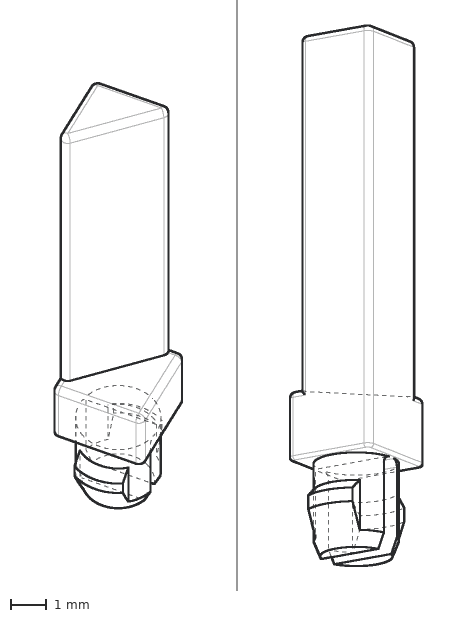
import cadquery as cq
import math

side = 2.8
body_height = 12.3
base_height = 2.0
column_face_x = -0.1
edge_radius = 0.2
bottom_radius = 0.1

stem_length = 2.7
stem_radius = 1.2
tip_radius = 1.02
barb_radius = 1.5
barb_width = 1.5
barb_top_z = -0.8
barb_shoulder_z = -1.1
barb_taper_z = -1.5
slot_width = 0.65
slot_root_radius = 0.2

diagonal_angle = 45
half_diagonal = side / math.sqrt(2)

ORIGIN = (0, 0, 0)
Z_AXIS = (0, 0, 1)


def make_base():
    """Low square block with rounded corners and edges."""
    block = cq.Workplane("XY").rect(side, side).extrude(base_height)
    block = block.edges("|Z or >Z").fillet(edge_radius)
    block = block.faces("<Z").edges().fillet(bottom_radius)
    return block.rotate(ORIGIN, Z_AXIS, diagonal_angle)


def make_column():
    """Tall triangular column over the -X half of the base."""
    half_width = half_diagonal + column_face_x
    column = (
        cq.Workplane("XY")
        .moveTo(-half_diagonal, 0)
        .lineTo(column_face_x, -half_width)
        .lineTo(column_face_x, half_width)
        .close()
        .extrude(body_height)
    )
    column = column.edges("|Z or >Z").fillet(edge_radius)
    return column.faces("<Z").edges().fillet(bottom_radius)


def make_barbs():
    """Turned barb ring, trimmed to a strip so that two opposite barbs remain."""
    ring = (
        cq.Workplane("XZ")
        .moveTo(0, barb_top_z)
        .lineTo(stem_radius, barb_top_z)
        .lineTo(barb_radius, barb_shoulder_z)
        .lineTo(barb_radius, barb_taper_z)
        .lineTo(tip_radius, -stem_length)
        .lineTo(0, -stem_length)
        .close()
        .revolve(360, (0, 0), (0, 1))
    )
    strip = cq.Workplane("XY").rect(barb_width, 2 * barb_radius).extrude(-stem_length)
    return ring.intersect(strip)


def make_shaft():
    """Round shaft whose lower end tapers along the same cone as the barbs."""
    taper_slope = (barb_radius - tip_radius) / (barb_taper_z + stem_length)
    shaft_taper_z = -stem_length + (stem_radius - tip_radius) / taper_slope
    return (
        cq.Workplane("XZ")
        .lineTo(stem_radius, 0)
        .lineTo(stem_radius, shaft_taper_z)
        .lineTo(tip_radius, -stem_length)
        .lineTo(0, -stem_length)
        .close()
        .revolve(360, (0, 0), (0, 1))
    )


def make_stem():
    """Shaft with two barbs, split by a slot with rounded root corners."""
    slot = cq.Workplane("XY").rect(2 * barb_radius, slot_width).extrude(-stem_length)
    slot = slot.faces(">Z").edges("|X").fillet(slot_root_radius)
    stem = make_shaft().union(make_barbs()).cut(slot)
    return stem.rotate(ORIGIN, Z_AXIS, diagonal_angle)


result = make_base().union(make_column()).union(make_stem())